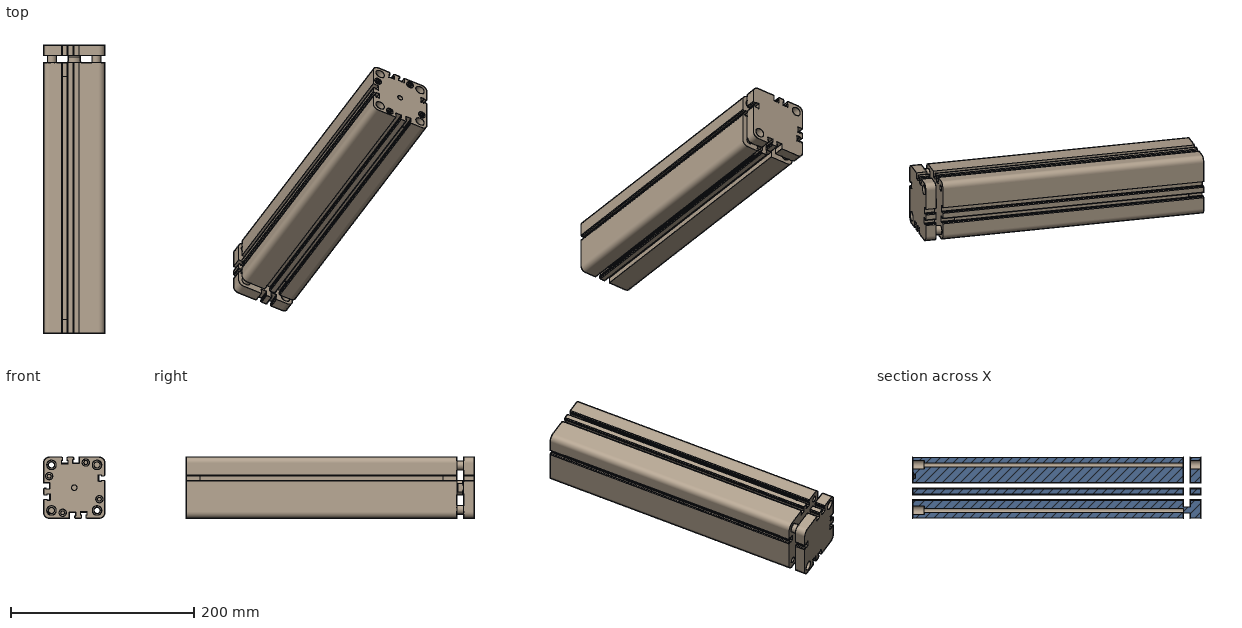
import cadquery as cq


LENGTH = 315.0
WIDTH = 67.0
PLATE_THICKNESS = 11.5
GAP = 7.5
CAP_LENGTH = 15.0
REAR_Y = -LENGTH / 2
PLATE_Y = LENGTH / 2 - PLATE_THICKNESS
BARREL_END_Y = PLATE_Y - GAP

HALF = WIDTH / 2
CORNER_RADIUS = 6.5

T_SLOT_CENTER = -10.5
T_SLOT_WIDTH = 6.5
T_SLOT_OPENING = 4.7
T_SLOT_LIP = 3.8
CAP_SLOT_DEPTH = 7.5
TUBE_SLOT_DEPTH = 6.5
LIP_CHAMFER = 1.0

HALF_SLOT_LIP_WALL = -0.47
HALF_SLOT_UNDERCUT = 1.0
HALF_SLOT_UNDERCUT_WALL = HALF_SLOT_LIP_WALL - HALF_SLOT_UNDERCUT
HALF_SLOT_PLAIN_WALL = HALF_SLOT_UNDERCUT_WALL + T_SLOT_WIDTH
HALF_SLOT_LIP = 2.8
HALF_SLOT_DEPTH = 6.5

TOP, LEFT, BOTTOM, RIGHT = 0, -90, 180, 90
T_SLOT_SIDES = (TOP, LEFT, BOTTOM, RIGHT)
HALF_SLOT_SIDES = (TOP, LEFT, BOTTOM)

HOLE_OFFSET = 25.0
GUIDE_OFFSET = 24.3
COUNTERBORE_DIAMETER = 10.5
COUNTERBORE_DEPTH = 12.5
FIXING_HOLE_DIAMETER = 6.5
PLATE_HOLE_DIAMETER = 10.5
GUIDE_DIAMETER = 10.0
OPEN_CORNERS = [(-1, 1), (1, -1)]
GUIDE_CORNERS = [(1, 1), (-1, -1)]

ROD_DIAMETER = 16.0
ROD_CHAMFER = 1.5
ROD_FLAT_WIDTH = 13.2
ROD_FLAT_LENGTH = 6.0

PORT_DIAMETER = 6.0
PORT_DEPTH = 12.5

SCREW_EDGE_OFFSET = 27.5
SCREW_SIDE_OFFSET = 12.5
SCREW_RECESS_DIAMETER = 8.0
SCREW_RECESS_DEPTH = 1.0
SOCKET_DIAMETER = 4.7
SOCKET_DEPTH = 2.0
SOCKET_SIDES = 6
SOCKET_TURN = 30


def section_at(y):
    """Workplane across the part at y; its local axes are X and Z, extruding toward -Y."""
    return cq.Workplane("XZ", origin=(0, y, 0))


def corner_points(corners, offset):
    """Points in the given corners, at the same distance from both middle planes."""
    return [(x_sign * offset, z_sign * offset) for x_sign, z_sign in corners]


def cylinders(points, diameter, y_start, y_end):
    """Cylinders along Y from y_start up to y_end at the given (x, z) points."""
    return section_at(y_end).pushPoints(points).circle(diameter / 2).extrude(y_end - y_start)


def t_slot(y_start, y_end, depth):
    """T-slot in the top side, with chamfered lips."""
    half_width = T_SLOT_WIDTH / 2
    half_opening = T_SLOT_OPENING / 2
    floor = HALF - depth
    lip_end = HALF - T_SLOT_LIP
    right_half = [
        (half_width, floor),
        (half_width, lip_end),
        (half_opening, lip_end),
        (half_opening, HALF - LIP_CHAMFER),
        (half_opening + LIP_CHAMFER, HALF),
    ]
    left_half = [(-x, z) for x, z in reversed(right_half)]
    slot = section_at(y_end).center(T_SLOT_CENTER, 0).polyline(right_half + left_half).close()
    return slot.extrude(y_end - y_start)


def half_slot(y_start, y_end):
    """Half T-slot in the top side, lipped on the wall nearer to the T-slot."""
    floor = HALF - HALF_SLOT_DEPTH
    lip_end = HALF - HALF_SLOT_LIP
    points = [
        (HALF_SLOT_LIP_WALL - LIP_CHAMFER, HALF),
        (HALF_SLOT_LIP_WALL, HALF - LIP_CHAMFER),
        (HALF_SLOT_LIP_WALL, lip_end),
        (HALF_SLOT_UNDERCUT_WALL, lip_end),
        (HALF_SLOT_UNDERCUT_WALL, floor),
        (HALF_SLOT_PLAIN_WALL, floor),
        (HALF_SLOT_PLAIN_WALL, HALF),
    ]
    return section_at(y_end).polyline(points).close().extrude(y_end - y_start)


def turned(shape, angle):
    """Turn a slot from the top side to another side."""
    return shape.rotate((0, 0, 0), (0, 1, 0), angle)


def slotted_block(y_start, y_end, t_slot_depth):
    """Rounded square block with its side slots running the full length."""
    block = section_at(y_end).rect(WIDTH, WIDTH).extrude(y_end - y_start)
    block = block.edges("|Y").fillet(CORNER_RADIUS)
    for side in T_SLOT_SIDES:
        block = block.cut(turned(t_slot(y_start, y_end, t_slot_depth), side))
    for side in HALF_SLOT_SIDES:
        block = block.cut(turned(half_slot(y_start, y_end), side))
    return block


def barrel():
    """Tube between two end caps, whose T-slots are slightly deeper."""
    tube_start = REAR_Y + CAP_LENGTH
    tube_end = BARREL_END_Y - CAP_LENGTH
    rear_cap = slotted_block(REAR_Y, tube_start, CAP_SLOT_DEPTH)
    tube = slotted_block(tube_start, tube_end, TUBE_SLOT_DEPTH)
    front_cap = slotted_block(tube_end, BARREL_END_Y, CAP_SLOT_DEPTH)
    return rear_cap.union(tube).union(front_cap)


def end_plate():
    """Plate with the barrel's outline and through holes at the open corners."""
    plate = slotted_block(PLATE_Y, LENGTH / 2, CAP_SLOT_DEPTH)
    hole_points = corner_points(OPEN_CORNERS, HOLE_OFFSET)
    return plate.cut(cylinders(hole_points, PLATE_HOLE_DIAMETER, PLATE_Y, LENGTH / 2))


def piston_rod():
    """Rod with two wrench flats that run out at 45 degrees."""
    rod = cylinders([(0, 0)], ROD_DIAMETER, BARREL_END_Y, PLATE_Y)
    rod = rod.faces(">Y").chamfer(ROD_CHAMFER)
    flat_x = ROD_FLAT_WIDTH / 2
    rim_x = ROD_DIAMETER / 2
    flat_end_y = PLATE_Y - ROD_FLAT_LENGTH
    runout_end_y = flat_end_y - (rim_x - flat_x)
    flat = (
        cq.Workplane("XY")
        .polyline([(flat_x, PLATE_Y), (flat_x, flat_end_y), (rim_x, runout_end_y), (rim_x, PLATE_Y)])
        .close()
        .extrude(ROD_DIAMETER / 2, both=True)
    )
    return rod.cut(flat).cut(flat.mirror("YZ"))


def corner_holes():
    """Counterbored holes along the barrel; the guide rods close two of them at the far end."""
    points = corner_points(OPEN_CORNERS + GUIDE_CORNERS, HOLE_OFFSET)
    counterbores = cylinders(points, COUNTERBORE_DIAMETER, REAR_Y, REAR_Y + COUNTERBORE_DEPTH)
    holes = cylinders(points, FIXING_HOLE_DIAMETER, REAR_Y, BARREL_END_Y)
    return counterbores.union(holes)


def screw_recesses():
    """Shallow round recess with a hexagon socket for each screw, one beside every corner."""
    points = [
        (SCREW_SIDE_OFFSET, SCREW_EDGE_OFFSET),
        (-SCREW_EDGE_OFFSET, SCREW_SIDE_OFFSET),
        (-SCREW_SIDE_OFFSET, -SCREW_EDGE_OFFSET),
        (SCREW_EDGE_OFFSET, -SCREW_SIDE_OFFSET),
    ]
    recess_floor = REAR_Y + SCREW_RECESS_DEPTH
    socket_floor = recess_floor + SOCKET_DEPTH
    recesses = cylinders(points, SCREW_RECESS_DIAMETER, REAR_Y, recess_floor)
    hexagons = cq.Sketch().push(points).regularPolygon(SOCKET_DIAMETER / 2, SOCKET_SIDES, SOCKET_TURN)
    sockets = section_at(socket_floor).placeSketch(hexagons).extrude(SOCKET_DEPTH)
    return recesses.union(sockets)


guide_points = corner_points(GUIDE_CORNERS, GUIDE_OFFSET)
guide_rods = cylinders(guide_points, GUIDE_DIAMETER, BARREL_END_Y, PLATE_Y)
rear_port = cylinders([(0, 0)], PORT_DIAMETER, REAR_Y, REAR_Y + PORT_DEPTH)

result = (
    barrel()
    .cut(corner_holes())
    .cut(screw_recesses())
    .cut(rear_port)
    .union(guide_rods)
    .union(piston_rod())
    .union(end_plate())
)